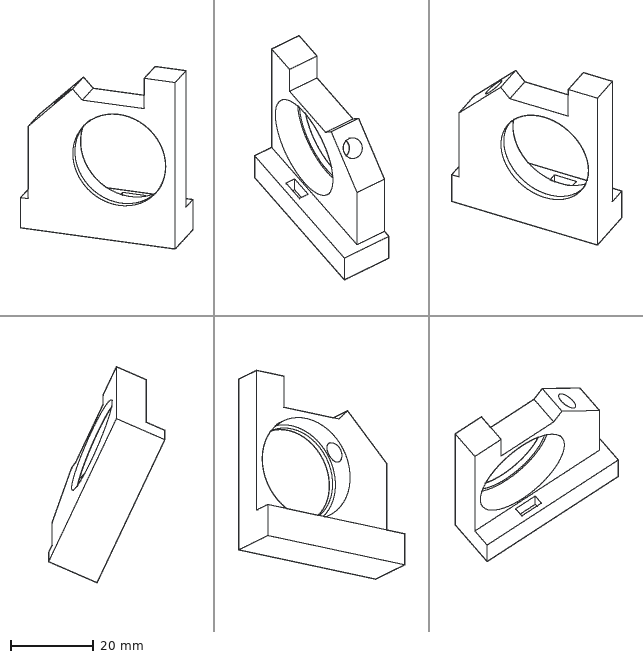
import cadquery as cq

length = 40.0
depth = 13.0
height = 44.0
wall = 8.0

plate_left = 2.0
shoulder_z = 27.1
shelf_z = height - wall
pad_offset = 2.5
slope_run = 11.5

bore_x = 25.5
bore_z = 21.5
lip_diameter = 24.0
bore_diameter = 25.6
lip_depth = 1.5

screw_diameter = 5.0
screw_x = 9.25
screw_y = 4.5
screw_length = 11.0

pocket_x = 25.3
pocket_y = 10.2
pocket_length = 6.0
pocket_width = 2.5
pocket_depth = 4.0


def base():
    return cq.Workplane("XY").box(length, depth, wall, centered=False)


def upright():
    pad_top = (plate_left + slope_run, shoulder_z + slope_run)
    outline = [
        (plate_left, 0),
        (plate_left, shoulder_z),
        pad_top,
        (pad_top[0] + pad_offset, shelf_z),
        (length - wall, shelf_z),
        (length - wall, height),
        (length, height),
        (length, 0),
    ]
    return cq.Workplane("XZ").polyline(outline).close().extrude(-wall)


def bore_step(diameter, start_y, end_y):
    return (
        cq.Workplane("XZ", origin=(bore_x, start_y, bore_z))
        .circle(diameter / 2)
        .extrude(start_y - end_y)
    )


def screw_hole():
    screw_z = shoulder_z + screw_x - plate_left
    mouth = cq.Vector(screw_x, screw_y, screw_z)
    inward = cq.Vector(1, 0, -1)
    return cq.Solid.makeCylinder(screw_diameter / 2, screw_length, mouth, inward)


def ledge_pocket():
    return (
        cq.Workplane("XY", origin=(pocket_x, pocket_y, wall))
        .rect(pocket_length, pocket_width)
        .extrude(-pocket_depth)
    )


result = (
    base()
    .union(upright())
    .cut(bore_step(lip_diameter, 0, lip_depth))
    .cut(bore_step(bore_diameter, lip_depth, wall))
    .cut(screw_hole())
    .cut(ledge_pocket())
)